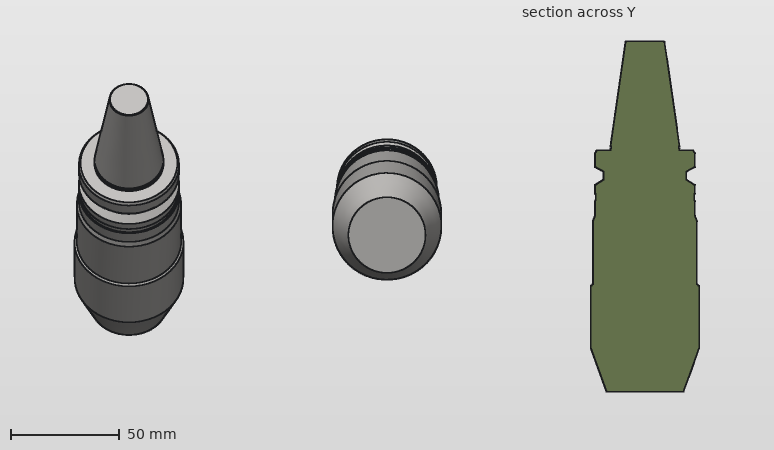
import cadquery as cq

nose_tip_radius = 17.7
nose_radius = 25.02
body_radius = 24.0
flange_radius = 23.0
band_depth = 0.3
band_wall_rise = 0.5
gripper_groove_radius = 19.1
taper_large_radius = 16.0
taper_small_radius = 9.0
relief_depth = 0.3
flange_chamfer_width = 0.8
tip_chamfer = 0.3

total_length = 160.9
nose_cone_top = 20.3
nose_top = 48.6
nose_step_top = 49.4
body_top = 78.4
shoulder_top = 80.8
band_bottom = 87.5
band_top = 90.9
lower_flange_top = 95.0
gripper_groove_bottom = 97.3
gripper_groove_top = 101.0
upper_flange_bottom = 103.1
flange_chamfer_bottom = 109.4
flange_top = 110.9
relief_bottom = 111.8
taper_bottom = 112.6

band_radius = flange_radius - band_depth
relief_radius = taper_large_radius - relief_depth

nose_and_body = [
    (0, 0),
    (nose_tip_radius, 0),
    (nose_radius, nose_cone_top),
    (nose_radius, nose_top),
    (body_radius, nose_step_top),
    (body_radius, body_top),
    (flange_radius, shoulder_top),
]

flange_band = [
    (flange_radius, band_bottom),
    (band_radius, band_bottom + band_wall_rise),
    (band_radius, band_top - band_wall_rise),
    (flange_radius, band_top),
]

gripper_flange = [
    (flange_radius, lower_flange_top),
    (gripper_groove_radius, gripper_groove_bottom),
    (gripper_groove_radius, gripper_groove_top),
    (flange_radius, upper_flange_bottom),
    (flange_radius, flange_chamfer_bottom),
    (flange_radius - flange_chamfer_width, flange_top),
]

taper_shank = [
    (taper_large_radius, flange_top),
    (taper_large_radius, relief_bottom),
    (relief_radius, relief_bottom),
    (relief_radius, taper_bottom),
    (taper_large_radius, taper_bottom),
    (taper_small_radius, total_length - tip_chamfer),
    (taper_small_radius - tip_chamfer, total_length),
    (0, total_length),
]

outline = nose_and_body + flange_band + gripper_flange + taper_shank
result = (
    cq.Workplane("XZ")
    .polyline(outline)
    .close()
    .revolve(360, (0, 0, 0), (0, 1, 0))
)